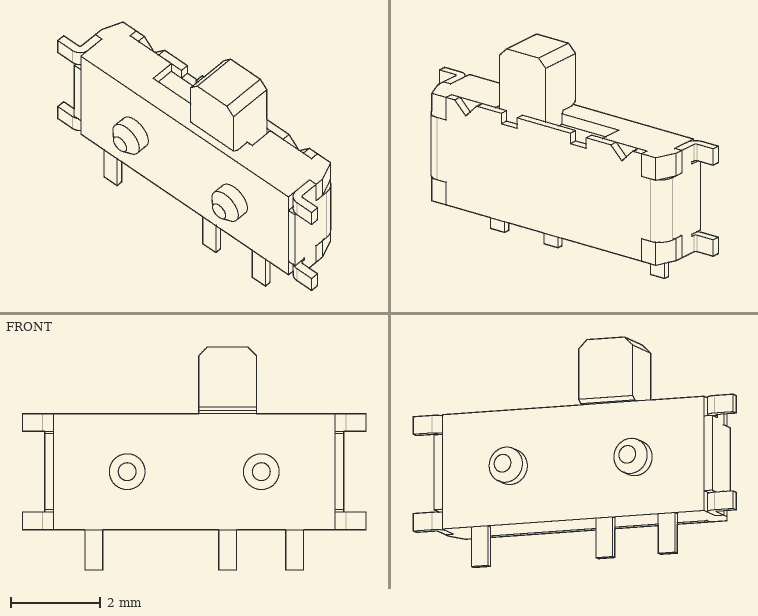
import cadquery as cq
import math

overall_length = 7.7
body_length = 6.7
body_depth = 1.4
body_height = 2.6
top_z = body_height / 2
half_length = body_length / 2

sheet = 0.2
shell_bend_radius = 0.355
back_tab_half_width = 2.75
back_inner_y = body_depth - sheet
core_half_length = half_length - sheet

corner_height = 0.55
corner_front_y = 0.7
corner_chamfer_y = 0.91

foot_height = 0.4
foot_slot_height = 0.05
foot_slot_depth = 0.315
foot_inner_radius = 0.05
foot_outer_radius = foot_inner_radius + sheet

vee_offset = 2.195
vee_half_width = 0.31
gap_inner_x = 0.75
gap_outer_x = 1.19

pocket_length = 3.0
pocket_front_y = 0.6
pocket_depth = 0.255

knob_width = 1.3
knob_center_x = 0.75
knob_height = 1.49
knob_front_y = 0.09
knob_chamfer = 0.2
knob_clearance = 0.07
knob_lip_rise = 0.08
knob_lip_depth = 0.13
knob_root_depth = 0.055

post_offset = 1.5
post_diameter = 0.8
post_length = 0.5
post_chamfer = 0.2

terminal_positions = (-2.25, 0.75, 2.25)
terminal_width = 0.4
terminal_thickness = 0.155
terminal_length = 0.9


def box(x_min, x_max, y_min, y_max, z_min, z_max):
    """Box given by its limits on each axis."""
    size = (x_max - x_min, y_max - y_min, z_max - z_min)
    return cq.Workplane("XY").box(*size, centered=False).translate((x_min, y_min, z_min))


def in_both_ends(shape):
    """Shape on the +X side together with its mirror image on the -X side."""
    return shape.union(shape.mirror("YZ"))


def in_four_corners(shape):
    """Shape in the +X +Z corner repeated in all four corners."""
    two = in_both_ends(shape)
    return two.union(two.mirror("XY"))


def rounded_block(half_width, depth, radius):
    """Full-height block with its two rear vertical edges rounded."""
    block = box(-half_width, half_width, 0, depth, -top_z, top_z)
    return block.edges("|Z and >Y").fillet(radius)


def core_block():
    """Space enclosed by the shell."""
    return rounded_block(core_half_length, back_inner_y, shell_bend_radius - sheet)


def make_housing():
    corner = (
        cq.Workplane("XY", origin=(0, 0, top_z - corner_height))
        .moveTo(back_tab_half_width, corner_front_y)
        .lineTo(half_length, corner_front_y)
        .lineTo(half_length, corner_chamfer_y)
        .lineTo(core_half_length, body_depth)
        .lineTo(back_tab_half_width, body_depth)
        .close()
        .extrude(corner_height)
    )
    pocket = box(-pocket_length / 2, pocket_length / 2, pocket_front_y, back_inner_y,
                 top_z - pocket_depth, top_z)
    posts = (
        cq.Workplane("XZ")
        .pushPoints([(-post_offset, 0), (post_offset, 0)])
        .circle(post_diameter / 2)
        .extrude(post_length)
        .faces("<Y")
        .chamfer(post_chamfer)
    )
    return core_block().union(in_four_corners(corner)).cut(pocket).union(posts)


def make_foot():
    """Foot in the +X +Z corner, bent outward from the shell side."""
    bend_x = core_half_length + foot_outer_radius
    bend_y = foot_outer_radius
    diagonal = math.sqrt(0.5)
    outer_mid = (bend_x - foot_outer_radius * diagonal, bend_y - foot_outer_radius * diagonal)
    inner_mid = (bend_x - foot_inner_radius * diagonal, bend_y - foot_inner_radius * diagonal)
    return (
        cq.Workplane("XY", origin=(0, 0, top_z - foot_height))
        .moveTo(core_half_length, foot_slot_depth)
        .lineTo(core_half_length, bend_y)
        .threePointArc(outer_mid, (bend_x, 0))
        .lineTo(overall_length / 2, 0)
        .lineTo(overall_length / 2, sheet)
        .lineTo(bend_x, sheet)
        .threePointArc(inner_mid, (half_length, bend_y))
        .lineTo(half_length, foot_slot_depth)
        .close()
        .extrude(foot_height)
    )


def make_shell():
    shell = rounded_block(half_length, body_depth, shell_bend_radius).cut(core_block())

    window = box(back_tab_half_width, half_length, corner_front_y, body_depth,
                 top_z - corner_height, top_z)
    relief = box(core_half_length, half_length, 0, foot_slot_depth,
                 top_z - foot_height - foot_slot_height, top_z)
    shell = shell.cut(in_four_corners(window)).cut(in_four_corners(relief))

    gap = box(gap_inner_x, gap_outer_x, back_inner_y, body_depth, top_z - pocket_depth, top_z)
    vee = (
        cq.Workplane("XZ", origin=(0, body_depth, 0))
        .moveTo(vee_offset - vee_half_width, top_z)
        .lineTo(vee_offset, top_z - vee_half_width)
        .lineTo(vee_offset + vee_half_width, top_z)
        .close()
        .extrude(sheet)
    )
    shell = shell.cut(in_both_ends(gap)).cut(in_both_ends(vee))
    return shell.union(in_four_corners(make_foot()))


def make_slider():
    """Knob with a stem standing in the pocket and a front overhang above the housing."""
    overhang_z = top_z + knob_clearance
    knob_top_z = top_z + knob_height
    slider = (
        cq.Workplane("YZ", origin=(knob_center_x - knob_width / 2, 0, 0))
        .moveTo(back_inner_y, top_z - pocket_depth)
        .lineTo(back_inner_y, knob_top_z)
        .lineTo(knob_front_y, knob_top_z)
        .lineTo(knob_front_y, overhang_z + knob_lip_rise)
        .lineTo(knob_front_y + knob_lip_depth, overhang_z)
        .lineTo(pocket_front_y - knob_root_depth, overhang_z)
        .lineTo(pocket_front_y, top_z)
        .lineTo(pocket_front_y, top_z - pocket_depth)
        .close()
        .extrude(knob_width)
    )
    return slider.faces(">Z").edges("|Y").chamfer(knob_chamfer)


def make_terminal(center_x):
    """Flat terminal hanging from the housing's lower face, flush with the mounting face."""
    return box(center_x - terminal_width / 2, center_x + terminal_width / 2,
               0, terminal_thickness, -top_z - terminal_length, -top_z)


housing = make_housing()
shell = make_shell()
slider = make_slider()
terminals = [make_terminal(x) for x in terminal_positions]

result = cq.Compound.makeCompound([
    housing.val(),
    shell.val(),
    slider.val(),
    *[terminal.val() for terminal in terminals],
])